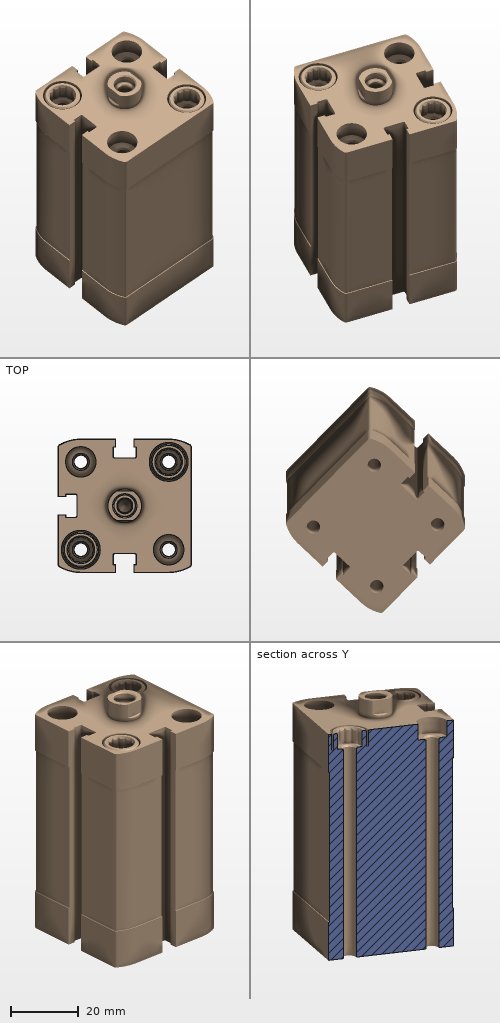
import cadquery as cq
import math

TOTAL_HEIGHT = 76.25
CAP_WIDTH = 39.5
ROD_PROTRUSION = 5.65
HOUSING_HEIGHT = TOTAL_HEIGHT - ROD_PROTRUSION

CAP_HEIGHT = 12.0
BARREL_INSET = 0.27
CORNER_ARC_RADIUS = 25.4 / 2
CORNER_ARC_CENTER_X = 13.0
CORNER_EDGE_RADIUS = 1.0

SLOT_MOUTH_WIDTH = 5.4
SLOT_INNER_WIDTH = 6.8
SLOT_DEPTH = 5.6
SLOT_LIP_DEPTH = 2.4
SLOT_FLOOR_RADIUS = 0.4

SCREW_PITCH = 26.0
SCREW_HOLE_DIAMETER = 4.0
SCREW_HOLE_MOUTH = 5.0
RECESS_DEPTH = 4.95
RECESS_DIAMETER = 9.0

COLLAR_RECESS_DIAMETER = 11.5
COLLAR_DIAMETER = 10.5
COLLAR_TOP_DIAMETER = 9.75
COLLAR_CHAMFER_HEIGHT = 0.4
SOCKET_MOUTH_DIAMETER = 8.15
SOCKET_MOUTH_DEPTH = 0.85
SOCKET_CREST_DIAMETER = 7.3
SPLINE_DEPTH = 0.3
SPLINE_COUNT = 12
SPLINE_CREST_ANGLE = 13.0

ROD_DIAMETER = 10.0
ROD_LENGTH = ROD_PROTRUSION + CAP_HEIGHT
ROD_FLATS_WIDTH = 8.7
ROD_FLATS_LENGTH = 4.35
ROD_FLATS_RUNOUT = 0.3
ROD_BORE_MOUTH = 7.2
ROD_BORE_CHAMFER_DEPTH = 0.3
ROD_BORE_DIAMETER = 6.4
ROD_BORE_DEPTH = 2.6
ROD_THREAD_MOUTH = 4.7
ROD_THREAD_DIAMETER = 4.1
ROD_THREAD_DEPTH = 9.15
DRILL_POINT_ANGLE = 118.0


def turned(profile):
    """Solid of revolution about Z from (radius, height) points."""
    return cq.Workplane("XZ").polyline(profile).close().revolve(360, (0, 0), (0, 1))


def polar(radius, angle):
    """Point at a radius and an angle in degrees."""
    turn = math.radians(angle)
    return (radius * math.cos(turn), radius * math.sin(turn))


def outline_block(inset, bottom, height):
    """Prism with flat sides and a wide arc at each corner, offset inwards by the inset."""
    half = CAP_WIDTH / 2 - inset
    radius = CORNER_ARC_RADIUS - inset
    center_x = CORNER_ARC_CENTER_X
    center_y = CAP_WIDTH / 2 - CORNER_ARC_RADIUS
    sweep = math.acos((half - center_x) / radius)
    corner_y = center_y + radius * math.sin(sweep)
    middle = (sweep + math.pi / 2) / 2
    middle_x = center_x + radius * math.cos(middle)
    middle_y = center_y + radius * math.sin(middle)
    return (
        cq.Workplane("XY", origin=(0, 0, bottom))
        .moveTo(half, -corner_y)
        .lineTo(half, corner_y)
        .threePointArc((middle_x, middle_y), (center_x, half))
        .lineTo(-center_x, half)
        .threePointArc((-middle_x, middle_y), (-half, corner_y))
        .lineTo(-half, -corner_y)
        .threePointArc((-middle_x, -middle_y), (-center_x, -half))
        .lineTo(center_x, -half)
        .threePointArc((middle_x, -middle_y), (half, -corner_y))
        .close()
        .extrude(height)
        .edges("|Z and (<X or >X)")
        .fillet(CORNER_EDGE_RADIUS - inset)
    )


def slot_cutter(angle):
    """Full-height slot with a narrow mouth, opening towards +X before it is turned."""
    lip = CAP_WIDTH / 2 - SLOT_LIP_DEPTH
    floor = CAP_WIDTH / 2 - SLOT_DEPTH
    mouth = cq.Workplane("XY", origin=(floor, 0, 0)).box(
        SLOT_DEPTH, SLOT_MOUTH_WIDTH, HOUSING_HEIGHT, centered=(False, True, False)
    )
    pocket = (
        cq.Workplane("XY", origin=(floor, 0, 0))
        .box(lip - floor, SLOT_INNER_WIDTH, HOUSING_HEIGHT, centered=(False, True, False))
        .edges("|Z and <X")
        .fillet(SLOT_FLOOR_RADIUS)
    )
    return pocket.union(mouth).rotate((0, 0, 0), (0, 0, 1), angle)


def screw_hole_cutter():
    """Through hole on the Z axis with a chamfered mouth at the floor of its recess."""
    floor = HOUSING_HEIGHT - RECESS_DEPTH
    hole = SCREW_HOLE_DIAMETER / 2
    mouth = SCREW_HOLE_MOUTH / 2
    return turned([(0, 0), (hole, 0), (hole, floor - (mouth - hole)), (mouth, floor), (0, floor)])


def plain_recess_cutter():
    """Round counterbore on the Z axis."""
    floor = HOUSING_HEIGHT - RECESS_DEPTH
    return cq.Workplane("XY", origin=(0, 0, floor)).circle(RECESS_DIAMETER / 2).extrude(RECESS_DEPTH)


def splined_socket():
    """Socket with straight V grooves and a conical mouth."""
    floor = HOUSING_HEIGHT - RECESS_DEPTH
    pitch = 360 / SPLINE_COUNT
    crest = SOCKET_CREST_DIAMETER / 2
    points = []
    for index in range(SPLINE_COUNT):
        groove = index * pitch
        crest_start = groove + (pitch - SPLINE_CREST_ANGLE) / 2
        crest_end = crest_start + SPLINE_CREST_ANGLE
        points.append(polar(crest + SPLINE_DEPTH, groove))
        points.append(polar(crest, crest_start))
        points.append(polar(crest, crest_end))
    socket = cq.Workplane("XY", origin=(0, 0, floor)).polyline(points).close().extrude(RECESS_DEPTH)
    mouth_bottom = HOUSING_HEIGHT - SOCKET_MOUTH_DEPTH
    mouth = turned(
        [
            (0, mouth_bottom),
            (crest, mouth_bottom),
            (SOCKET_MOUTH_DIAMETER / 2, HOUSING_HEIGHT),
            (0, HOUSING_HEIGHT),
        ]
    )
    return socket.union(mouth)


def socket_recess_cutter():
    """Ring gap that leaves a chamfered collar standing, plus the socket inside the collar."""
    floor = HOUSING_HEIGHT - RECESS_DEPTH
    collar = COLLAR_DIAMETER / 2
    collar_top = COLLAR_TOP_DIAMETER / 2
    outside = COLLAR_RECESS_DIAMETER / 2
    gap = turned(
        [
            (collar, floor),
            (outside, floor),
            (outside, HOUSING_HEIGHT),
            (collar_top, HOUSING_HEIGHT),
            (collar, HOUSING_HEIGHT - COLLAR_CHAMFER_HEIGHT),
        ]
    )
    return gap.union(splined_socket())


def rod_blank():
    """Plain cylinder that is both the rod before machining and the hole that receives it."""
    bottom = TOTAL_HEIGHT - ROD_LENGTH
    return cq.Workplane("XY", origin=(0, 0, bottom)).circle(ROD_DIAMETER / 2).extrude(ROD_LENGTH)


def make_rod():
    """Piston rod with two wrench flats and a threaded bore in its top end."""
    radius = ROD_DIAMETER / 2
    flat = ROD_FLATS_WIDTH / 2
    flat_end = TOTAL_HEIGHT - ROD_FLATS_LENGTH
    flat_cutter = (
        cq.Workplane("YZ")
        .polyline(
            [
                (flat, TOTAL_HEIGHT),
                (flat, flat_end),
                (radius, flat_end - ROD_FLATS_RUNOUT),
                (radius, TOTAL_HEIGHT),
            ]
        )
        .close()
        .extrude(radius, both=True)
    )
    rod = rod_blank().cut(flat_cutter).cut(flat_cutter.mirror("XZ"))

    bore = ROD_BORE_DIAMETER / 2
    thread_mouth = ROD_THREAD_MOUTH / 2
    thread = ROD_THREAD_DIAMETER / 2
    bore_floor = TOTAL_HEIGHT - ROD_BORE_DEPTH
    thread_end = TOTAL_HEIGHT - ROD_THREAD_DEPTH
    point_height = thread / math.tan(math.radians(DRILL_POINT_ANGLE / 2))
    bore_cutter = turned(
        [
            (0, TOTAL_HEIGHT),
            (ROD_BORE_MOUTH / 2, TOTAL_HEIGHT),
            (bore, TOTAL_HEIGHT - ROD_BORE_CHAMFER_DEPTH),
            (bore, bore_floor),
            (thread_mouth, bore_floor),
            (thread, bore_floor - (thread_mouth - thread)),
            (thread, thread_end),
            (0, thread_end - point_height),
        ]
    )
    return rod.cut(bore_cutter)


def make_housing():
    """Two end caps and the barrel in one piece, with slots, corner holes and the rod hole."""
    barrel_height = HOUSING_HEIGHT - 2 * CAP_HEIGHT
    housing = (
        outline_block(0, 0, CAP_HEIGHT)
        .union(outline_block(BARREL_INSET, CAP_HEIGHT, barrel_height))
        .union(outline_block(0, HOUSING_HEIGHT - CAP_HEIGHT, CAP_HEIGHT))
    )

    for angle in (90, 180, 270):
        housing = housing.cut(slot_cutter(angle))

    offset = SCREW_PITCH / 2
    for x_side in (-1, 1):
        for y_side in (-1, 1):
            recess = socket_recess_cutter() if x_side == y_side else plain_recess_cutter()
            place = (x_side * offset, y_side * offset, 0)
            housing = housing.cut(recess.translate(place)).cut(screw_hole_cutter().translate(place))

    return housing.cut(rod_blank())


housing = make_housing()
rod = make_rod()

result = cq.Compound.makeCompound([housing.val(), rod.val()])